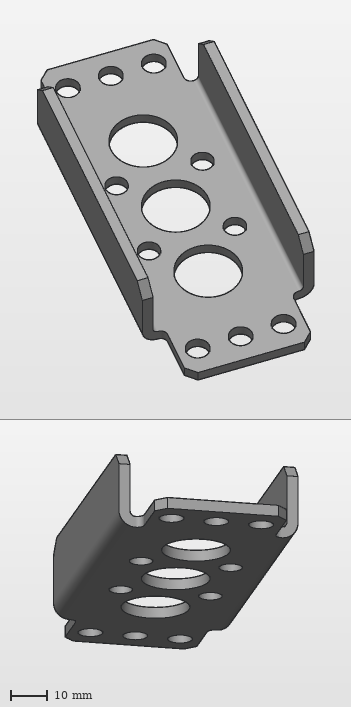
import cadquery as cq

length = 118.2
thickness = 3.2
tab_width = 37.4
tab_chamfer = 3.0
tab_root_radius = 2.0

channel_width = 50.8
channel_height = 22.2
channel_length = 82.3
flange_chamfer = 4.0
bend_inner_radius = 1.4
bend_outer_radius = bend_inner_radius + thickness

large_hole_spacing = 25.4
hole_grid = large_hole_spacing / 2
end_hole_x = 4 * hole_grid
large_hole_diameter = 19.0
middle_hole_diameter = 6.5
end_hole_diameter = 6.9


def make_channel():
    """U-shaped bent sheet with the top corners of its flanges cut off."""
    outer = (
        cq.Workplane("XY")
        .box(channel_length, channel_width, channel_height, centered=(True, True, False))
        .edges("|X and <Z")
        .fillet(bend_outer_radius)
        .edges("|Y and >Z")
        .chamfer(flange_chamfer)
    )
    inner = (
        cq.Workplane("XY")
        .workplane(offset=thickness)
        .box(channel_length, channel_width - 2 * thickness, channel_height, centered=(True, True, False))
        .edges("|X and <Z")
        .fillet(bend_inner_radius)
    )
    return outer.cut(inner)


def make_plate():
    """Full-length flat plate, wider between the flanges, with rounded tab roots."""
    flat_width = channel_width - 2 * bend_outer_radius
    tabs = (
        cq.Workplane("XY")
        .box(length, tab_width, thickness, centered=(True, True, False))
        .edges("|Z")
        .chamfer(tab_chamfer)
    )
    for x_side in (-1, 1):
        for y_side in (-1, 1):
            tabs = tabs.union(make_root_fillet(x_side, y_side))
    middle = cq.Workplane("XY").box(channel_length, flat_width, thickness, centered=(True, True, False))
    return tabs.union(middle)


def make_root_fillet(x_side, y_side):
    """Concave fillet in the corner between a tab and the channel end."""
    corner_x = x_side * channel_length / 2
    corner_y = y_side * tab_width / 2
    far_x = corner_x + x_side * tab_root_radius
    far_y = corner_y + y_side * tab_root_radius
    square = (
        cq.Workplane("XY")
        .center((corner_x + far_x) / 2, (corner_y + far_y) / 2)
        .rect(tab_root_radius, tab_root_radius)
        .extrude(thickness)
    )
    round_cut = cq.Workplane("XY").center(far_x, far_y).circle(tab_root_radius).extrude(thickness)
    return square.cut(round_cut)


def hole_cutter(points, diameter):
    return cq.Workplane("XY").pushPoints(points).circle(diameter / 2).extrude(thickness)


large_holes = [(x, 0) for x in (-large_hole_spacing, 0, large_hole_spacing)]
middle_holes = [(x, y) for x in (-hole_grid, hole_grid) for y in (-hole_grid, hole_grid)]
end_holes = [(x, y) for x in (-end_hole_x, end_hole_x) for y in (-hole_grid, 0, hole_grid)]

result = make_channel().union(make_plate())
result = result.cut(hole_cutter(large_holes, large_hole_diameter))
result = result.cut(hole_cutter(middle_holes, middle_hole_diameter))
result = result.cut(hole_cutter(end_holes, end_hole_diameter))